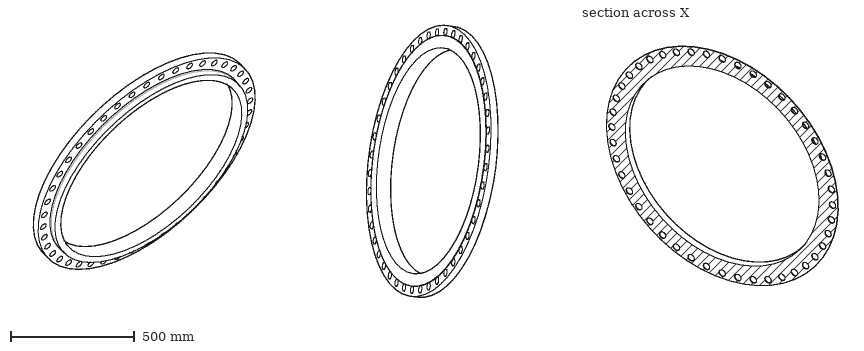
import cadquery as cq

outer_diameter = 1105.0
bore_diameter = 920.0
overall_length = 65.0
flange_length = 34.0
hub_diameter = 981.0

root_diameter = 985.0
root_length = 7.0

face_diameter = 1021.0
face_base_diameter = 1022.0
face_height = 1.7

bolt_circle_diameter = 1051.0
bolt_hole_diameter = 29.0
bolt_count = 44

front_x = -overall_length / 2
back_x = front_x + overall_length
rim_front_x = front_x + face_height
rim_back_x = front_x + flange_length
root_end_x = rim_back_x + root_length


def ring_body():
    """Raised face, flange, tapered root, hub and bore as one turned profile."""
    profile = [
        (front_x, bore_diameter / 2),
        (front_x, face_diameter / 2),
        (rim_front_x, face_base_diameter / 2),
        (rim_front_x, outer_diameter / 2),
        (rim_back_x, outer_diameter / 2),
        (rim_back_x, root_diameter / 2),
        (root_end_x, hub_diameter / 2),
        (back_x, hub_diameter / 2),
        (back_x, bore_diameter / 2),
    ]
    return cq.Workplane("XZ").polyline(profile).close().revolve(360, (0, 0, 0), (1, 0, 0))


def bolt_holes():
    """Equally spaced cylinders through the flange, the first one on the Y axis."""
    return (
        cq.Workplane("YZ", origin=(front_x, 0, 0))
        .polarArray(bolt_circle_diameter / 2, 0, 360, bolt_count)
        .circle(bolt_hole_diameter / 2)
        .extrude(flange_length)
    )


result = ring_body().cut(bolt_holes())